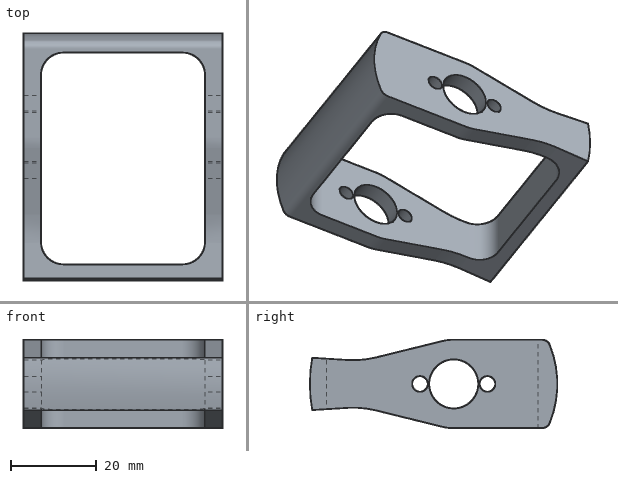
import cadquery as cq
import math

width = 46.51
length = 57.79
height = 20.67

tall_end_radius = 24.2
short_end_radius = length - tall_end_radius
short_end_half_height = 6.13
shoulder_y = -1.4
valley_y = -21.4
valley_half_height = 5.4

tall_end_fillet = 2.0
shoulder_blend = 10.0
valley_blend = 22.0

side_wall = 4.15
window_front_y = -29.75
window_back_y = 19.6
window_corner_radius = 5.2

pivot_diameter = 11.4
screw_diameter = 3.6
screw_offset = 7.87


def arc_end_y(radius, half_height):
    """Distance from the pivot axis to the end of an arc at the given height."""
    return math.sqrt(radius**2 - half_height**2)


def make_profile_block():
    """Extrude the side profile across the width and blend its corners."""
    half_height = height / 2
    tall_y = arc_end_y(tall_end_radius, half_height)
    short_y = -arc_end_y(short_end_radius, short_end_half_height)
    block = (
        cq.Workplane("YZ")
        .moveTo(tall_y, half_height)
        .lineTo(shoulder_y, half_height)
        .lineTo(valley_y, valley_half_height)
        .lineTo(short_y, short_end_half_height)
        .threePointArc((-short_end_radius, 0), (short_y, -short_end_half_height))
        .lineTo(valley_y, -valley_half_height)
        .lineTo(shoulder_y, -half_height)
        .lineTo(tall_y, -half_height)
        .threePointArc((tall_end_radius, 0), (tall_y, half_height))
        .close()
        .extrude(width / 2, both=True)
    )
    corners = [
        (tall_y, half_height, tall_end_fillet),
        (shoulder_y, half_height, shoulder_blend),
        (valley_y, valley_half_height, valley_blend),
    ]
    for y, z, radius in corners:
        for side in (1, -1):
            edge = cq.selectors.NearestToPointSelector((0, y, side * z))
            block = block.edges("|X").edges(edge).fillet(radius)
    return block


def cut_window(body):
    """Cut the rounded window vertically through the block."""
    window = (
        cq.Workplane("XY")
        .center(0, (window_front_y + window_back_y) / 2)
        .rect(width - 2 * side_wall, window_back_y - window_front_y)
        .extrude(height, both=True)
        .edges("|Z")
        .fillet(window_corner_radius)
    )
    return body.cut(window)


def cut_side_hole(body, y, diameter):
    """Drill one hole along X through both side walls."""
    drill = cq.Workplane("YZ").center(y, 0).circle(diameter / 2).extrude(width, both=True)
    return body.cut(drill)


result = cut_window(make_profile_block())
result = cut_side_hole(result, 0, pivot_diameter)
for screw_y in (-screw_offset, screw_offset):
    result = cut_side_hole(result, screw_y, screw_diameter)